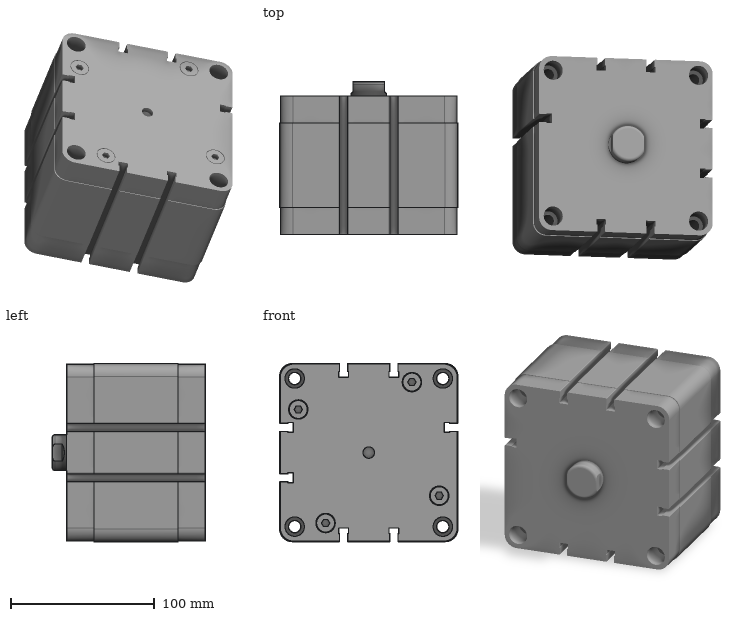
import cadquery as cq
import math

profile_side = 124.0
cap_side = 123.0
corner_radius = 9.0
body_length = 96.5
cap_length = 19.0
middle_length = body_length - 2 * cap_length

slot_offset = 17.5
slot_pair = (-slot_offset, slot_offset)
slot_places = ((0, slot_pair), (90, (-slot_offset,)), (180, slot_pair), (270, slot_pair))
slot_depth = 9.5
slot_neck_width = 5.5
slot_base_width = 6.7
slot_base_height = 3.8
slot_mouth_radius = 0.5

mount_offset = 103.0 / 2
mount_hole_diameter = 8.38
mount_bore_diameter = 13.5
mount_bore_depth = cap_length

screw_near_offset = 30.0
screw_far_offset = 49.0
screw_bore_diameter = 13.5
screw_head_diameter = 12.5
screw_gap_depth = 1.0
hex_across_flats = 5.0
hex_depth = 4.0

centre_hole_diameter = 8.0
centre_hole_depth = 4.0

total_length = 106.5
rod_length = total_length - body_length
rod_diameter = 25.0
rod_tip_radius = 2.0
rod_across_flats = 22.0
rod_flat_length = 7.0


def plane_at(y):
    """XZ plane at the given Y, with its normal pointing to +Y and local X along -X."""
    return cq.Workplane(cq.Plane(origin=(0, y, 0), xDir=(-1, 0, 0), normal=(0, 1, 0)))


def cylinder(x, z, diameter, y_start, length):
    """Cylinder along +Y starting at y_start."""
    return plane_at(y_start).center(-x, z).circle(diameter / 2).extrude(length)


def make_slot(outer, y_start, length):
    """T-slot cutter in the top face at height outer, with rounded mouth edges."""
    floor = profile_side / 2 - slot_depth
    half_neck = slot_neck_width / 2
    half_base = slot_base_width / 2
    half_mouth = half_neck + slot_mouth_radius
    shoulder = floor + slot_base_height
    neck_top = outer - slot_mouth_radius
    round_mid = slot_mouth_radius * (1 - math.sqrt(0.5))
    outline = plane_at(y_start).moveTo(-half_base, floor).lineTo(half_base, floor)
    outline = outline.lineTo(half_base, shoulder).lineTo(half_neck, shoulder)
    outline = outline.lineTo(half_neck, neck_top)
    outline = outline.threePointArc((half_neck + round_mid, outer - round_mid), (half_mouth, outer))
    outline = outline.lineTo(-half_mouth, outer)
    outline = outline.threePointArc((-half_neck - round_mid, outer - round_mid), (-half_neck, neck_top))
    outline = outline.lineTo(-half_neck, shoulder).lineTo(-half_base, shoulder).close()
    return outline.extrude(length)


def make_section(side, y_start, length):
    """Square block with rounded long edges and T-slots in its four sides."""
    section = plane_at(y_start).rect(side, side).extrude(length)
    section = section.edges("|Y").fillet(corner_radius)
    slot = make_slot(side / 2, y_start, length)
    for side_angle, offsets in slot_places:
        for offset in offsets:
            cutter = slot.translate((offset, 0, 0)).rotate((0, 0, 0), (0, 1, 0), side_angle)
            section = section.cut(cutter)
    return section


def make_body():
    front_cap = make_section(cap_side, 0, cap_length)
    middle = make_section(profile_side, cap_length, middle_length)
    rear_cap = make_section(cap_side, cap_length + middle_length, cap_length)
    return front_cap.union(middle).union(rear_cap)


def cut_mounting_holes(body):
    for x in (-mount_offset, mount_offset):
        for z in (-mount_offset, mount_offset):
            body = body.cut(cylinder(x, z, mount_hole_diameter, 0, body_length))
            for bore_start in (0, body_length - mount_bore_depth):
                body = body.cut(cylinder(x, z, mount_bore_diameter, bore_start, mount_bore_depth))
    return body


def cut_cover_screws(body):
    near, far = screw_near_offset, screw_far_offset
    hex_diameter = hex_across_flats / math.cos(math.pi / 6)
    for x, z in ((near, far), (far, -near), (-near, -far), (-far, near)):
        gap = cylinder(x, z, screw_bore_diameter, 0, screw_gap_depth)
        gap = gap.cut(cylinder(x, z, screw_head_diameter, 0, screw_gap_depth))
        socket = plane_at(0).center(-x, z).polygon(6, hex_diameter).extrude(hex_depth)
        body = body.cut(gap).cut(socket)
    return body


def make_rod():
    """Round rod with a rounded tip and two wrench flats that run out at 45 degrees."""
    radius = rod_diameter / 2
    rod = cylinder(0, 0, rod_diameter, body_length, rod_length)
    rod = rod.faces(">Y").edges().fillet(rod_tip_radius)

    flat_x = rod_across_flats / 2
    flat_start = total_length - rod_flat_length
    runout = radius - flat_x
    cutter = cq.Workplane("XY").workplane(offset=-radius)
    cutter = cutter.moveTo(flat_x, total_length).lineTo(flat_x, flat_start)
    cutter = cutter.lineTo(radius, flat_start - runout).lineTo(radius, total_length).close()
    cutter = cutter.extrude(rod_diameter)
    return rod.cut(cutter).cut(cutter.mirror("YZ"))


body = make_body()
body = cut_mounting_holes(body)
body = cut_cover_screws(body)
body = body.cut(cylinder(0, 0, centre_hole_diameter, 0, centre_hole_depth))
result = body.union(make_rod())